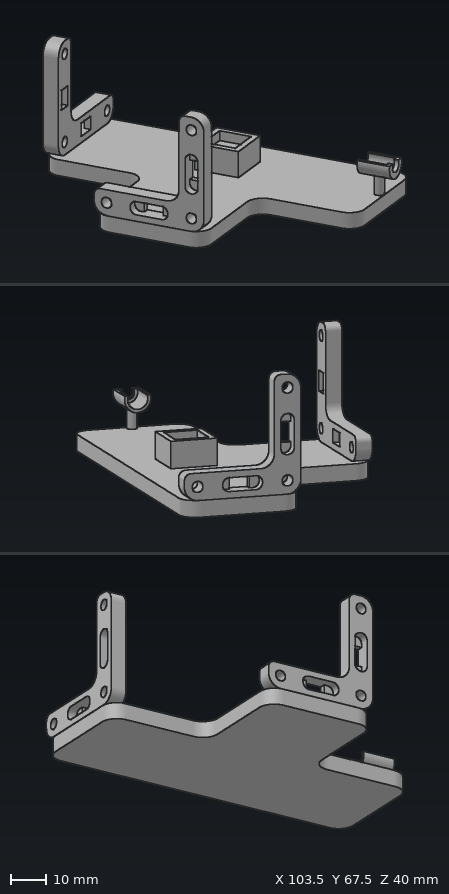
import cadquery as cq

PLATE_THICKNESS = 5.0
PLATE_LENGTH = 100.0
PLATE_DEPTH = 67.5
ARM_WIDTH = 35.0
PLATE_RADIUS = 5.0

BRACKET_SPAN = ARM_WIDTH
BRACKET_THICKNESS = 5.0
LEG_WIDTH = 8.0
OUTER_RADIUS = 4.0
TIP_RADIUS = 2.0
INNER_RADIUS = 4.0
HOLE_DIAMETER = 3.2
SLOT_LENGTH = 12.0
SLOT_WIDTH = 4.0
SLOT_DEPTH = 3.0
WINDOW_LENGTH = 6.0

HOLDER_SIDE = 14.0
HOLDER_HEIGHT = 8.0
POCKET_SIDE = 10.0
POCKET_DEPTH = 3.0

CRADLE_LENGTH = 10.4
CRADLE_OUTER_DIAMETER = 8.0
CRADLE_BORE_DIAMETER = 6.0
CRADLE_HOLE_DIAMETER = 4.0
CRADLE_END_WALL = 1.5
CRADLE_END_X = 103.5
CRADLE_AXIS_HEIGHT = 9.5
CRADLE_RIM_RISE = 1.0
POST_DIAMETER = 3.0

PLATE_CENTER_X = PLATE_LENGTH / 2
STEM_LEFT = PLATE_CENTER_X - ARM_WIDTH / 2
STEM_RIGHT = PLATE_CENTER_X + ARM_WIDTH / 2
STEM_LENGTH = PLATE_DEPTH - ARM_WIDTH
BAR_CENTER_Y = PLATE_DEPTH - ARM_WIDTH / 2


def make_plate():
    """T-shaped plate; every convex and concave corner has the same radius."""
    return (
        cq.Workplane("XY")
        .moveTo(STEM_LEFT, 0)
        .lineTo(STEM_RIGHT, 0)
        .lineTo(STEM_RIGHT, STEM_LENGTH)
        .lineTo(PLATE_LENGTH, STEM_LENGTH)
        .lineTo(PLATE_LENGTH, PLATE_DEPTH)
        .lineTo(0, PLATE_DEPTH)
        .lineTo(0, STEM_LENGTH)
        .lineTo(STEM_LEFT, STEM_LENGTH)
        .close()
        .extrude(PLATE_THICKNESS)
        .edges("|Z")
        .fillet(PLATE_RADIUS)
    )


def make_bracket():
    """L-shaped bracket with its front face on Y = 0 and its elbow at the +X end."""
    elbow_x = BRACKET_SPAN - LEG_WIDTH
    near = LEG_WIDTH / 2
    far = BRACKET_SPAN - near
    middle = BRACKET_SPAN / 2

    def round_corner(body, x, z, radius):
        corner = cq.selectors.NearestToPointSelector((x, BRACKET_THICKNESS / 2, z))
        return body.edges(corner).fillet(radius)

    def front_sketch():
        return cq.Workplane("XZ")

    bracket = (
        front_sketch()
        .lineTo(BRACKET_SPAN, 0)
        .lineTo(BRACKET_SPAN, BRACKET_SPAN)
        .lineTo(elbow_x, BRACKET_SPAN)
        .lineTo(elbow_x, LEG_WIDTH)
        .lineTo(0, LEG_WIDTH)
        .close()
        .extrude(-BRACKET_THICKNESS)
    )
    for x, z in [(0, 0), (BRACKET_SPAN, 0), (BRACKET_SPAN, BRACKET_SPAN)]:
        bracket = round_corner(bracket, x, z, OUTER_RADIUS)
    for x, z in [(0, LEG_WIDTH), (elbow_x, BRACKET_SPAN)]:
        bracket = round_corner(bracket, x, z, TIP_RADIUS)
    bracket = round_corner(bracket, elbow_x, LEG_WIDTH, INNER_RADIUS)

    holes = (
        front_sketch()
        .pushPoints([(near, near), (far, near), (far, far)])
        .circle(HOLE_DIAMETER / 2)
        .extrude(-BRACKET_THICKNESS)
    )
    bracket = bracket.cut(holes)

    for x, z, angle in [(middle, near, 0), (far, middle, 90)]:
        recess = front_sketch().center(x, z).slot2D(SLOT_LENGTH, SLOT_WIDTH, angle).extrude(-SLOT_DEPTH)
        window = (
            front_sketch()
            .center(x, z)
            .transformed(rotate=(0, 0, angle))
            .rect(WINDOW_LENGTH, SLOT_WIDTH)
            .extrude(-BRACKET_THICKNESS)
        )
        bracket = bracket.cut(recess).cut(window)
    return bracket


def make_holder():
    """Square block in the middle of the bar, with a square pocket in its top."""
    return (
        cq.Workplane("XY", origin=(PLATE_CENTER_X, BAR_CENTER_Y, PLATE_THICKNESS))
        .rect(HOLDER_SIDE, HOLDER_SIDE)
        .extrude(HOLDER_HEIGHT)
        .faces(">Z")
        .workplane()
        .rect(POCKET_SIDE, POCKET_SIDE)
        .cutBlind(-POCKET_DEPTH)
    )


def make_cradle():
    """Sleeve along X with a flat open top and a pierced end wall, carried by a post."""
    start_x = CRADLE_END_X - CRADLE_LENGTH
    axis_z = PLATE_THICKNESS + CRADLE_AXIS_HEIGHT

    def rod(diameter, length):
        return (
            cq.Workplane("YZ", origin=(start_x, BAR_CENTER_Y, axis_z))
            .circle(diameter / 2)
            .extrude(length)
        )

    post = (
        cq.Workplane("XY", origin=(start_x + CRADLE_LENGTH / 2, BAR_CENTER_Y, PLATE_THICKNESS))
        .circle(POST_DIAMETER / 2)
        .extrude(CRADLE_AXIS_HEIGHT)
    )
    open_top = cq.Workplane("XY", origin=(start_x, BAR_CENTER_Y, axis_z + CRADLE_RIM_RISE)).box(
        CRADLE_LENGTH, CRADLE_OUTER_DIAMETER, CRADLE_OUTER_DIAMETER, centered=(False, True, False)
    )
    return (
        rod(CRADLE_OUTER_DIAMETER, CRADLE_LENGTH)
        .union(post)
        .cut(rod(CRADLE_BORE_DIAMETER, CRADLE_LENGTH - CRADLE_END_WALL))
        .cut(rod(CRADLE_HOLE_DIAMETER, CRADLE_LENGTH))
        .cut(open_top)
    )


plate = make_plate()
holder = make_holder()
cradle = make_cradle()

brackets = []
for turn, corner in [
    (0, (STEM_LEFT, 0, PLATE_THICKNESS)),
    (-90, (0, PLATE_DEPTH, PLATE_THICKNESS)),
]:
    placed = make_bracket().rotate((0, 0, 0), (0, 0, 1), turn).translate(corner)
    brackets.append(placed.val())

result = cq.Compound.makeCompound([plate.val(), *brackets, holder.val(), cradle.val()])